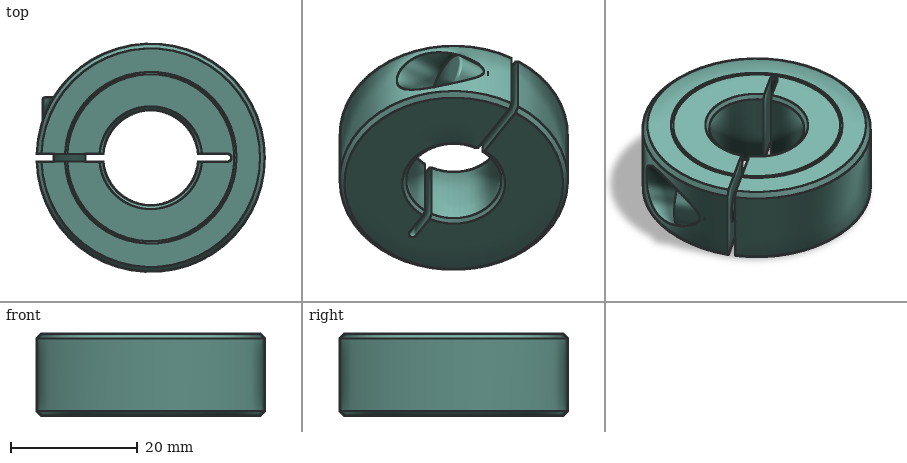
import cadquery as cq

OUTER_RADIUS = 18.0
BORE_RADIUS = 7.5
HEIGHT = 13.0
RIM_CHAMFER = 0.75
BORE_CHAMFER = 0.6

GROOVE_OUTER_RADIUS = 13.55
GROOVE_WIDTH = 0.35

SLIT_WIDTH = 1.22
SLIT_END_X = 12.7

SCREW_X = -12.78
SCREW_Z = HEIGHT / 2
SHANK_RADIUS = 2.52
SHANK_LENGTH = 12.0
HEAD_RADIUS = 4.3
HEAD_TOP_Y = 9.55
HEAD_HEIGHT = 5.0
HEAD_EDGE_RADIUS = 0.45
HEAD_SEAT_Y = HEAD_TOP_Y - HEAD_HEIGHT
SHANK_TIP_Y = HEAD_SEAT_Y - SHANK_LENGTH

COUNTERBORE_RADIUS = 4.43


def cylinder_along_y(radius, start_y, end_y):
    """Cylinder on the screw axis between two Y positions."""
    plane = cq.Plane(origin=(SCREW_X, start_y, SCREW_Z), xDir=(1, 0, 0), normal=(0, 1, 0))
    return cq.Workplane(plane).circle(radius).extrude(end_y - start_y)


def make_ring():
    """Plain ring with chamfered rim and bore edges."""
    profile = [
        (BORE_RADIUS, BORE_CHAMFER),
        (BORE_RADIUS + BORE_CHAMFER, 0),
        (OUTER_RADIUS - RIM_CHAMFER, 0),
        (OUTER_RADIUS, RIM_CHAMFER),
        (OUTER_RADIUS, HEIGHT - RIM_CHAMFER),
        (OUTER_RADIUS - RIM_CHAMFER, HEIGHT),
        (BORE_RADIUS + BORE_CHAMFER, HEIGHT),
        (BORE_RADIUS, HEIGHT - BORE_CHAMFER),
    ]
    return cq.Workplane("XZ").polyline(profile).close().revolve(360, (0, 0, 0), (0, 1, 0))


def make_groove():
    """Ring of circular section, centred on the top face, that cuts the round groove."""
    section_radius = GROOVE_WIDTH / 2
    section = cq.Workplane("XZ").center(GROOVE_OUTER_RADIUS - section_radius, HEIGHT).circle(section_radius)
    axis_x = section_radius - GROOVE_OUTER_RADIUS
    return section.revolve(360, (axis_x, 0, 0), (axis_x, 1, 0))


def make_slit():
    """Slab that splits the -X side and ends in a half-round on the +X side."""
    half_width = SLIT_WIDTH / 2
    arc_start_x = SLIT_END_X - half_width
    return (
        cq.Workplane("XY")
        .moveTo(-OUTER_RADIUS, -half_width)
        .lineTo(arc_start_x, -half_width)
        .threePointArc((SLIT_END_X, 0), (arc_start_x, half_width))
        .lineTo(-OUTER_RADIUS, half_width)
        .close()
        .extrude(HEIGHT)
    )


def make_collar():
    """Split collar with the counterbored hole for the clamp screw."""
    screw_hole = cylinder_along_y(SHANK_RADIUS, SHANK_TIP_Y, HEAD_SEAT_Y)
    counterbore = cylinder_along_y(COUNTERBORE_RADIUS, HEAD_SEAT_Y, OUTER_RADIUS)
    collar = make_ring().cut(make_groove()).cut(make_slit())
    return collar.cut(screw_hole).cut(counterbore)


def make_clamp_screw():
    """Cap screw with a rounded head edge and a plain shank."""
    head = cylinder_along_y(HEAD_RADIUS, HEAD_SEAT_Y, HEAD_TOP_Y)
    head = head.faces(">Y").edges().fillet(HEAD_EDGE_RADIUS)
    shank = cylinder_along_y(SHANK_RADIUS, SHANK_TIP_Y, HEAD_SEAT_Y)
    return head.union(shank)


collar = make_collar()
clamp_screw = make_clamp_screw()

result = cq.Compound.makeCompound([collar.solids().val(), clamp_screw.solids().val()])